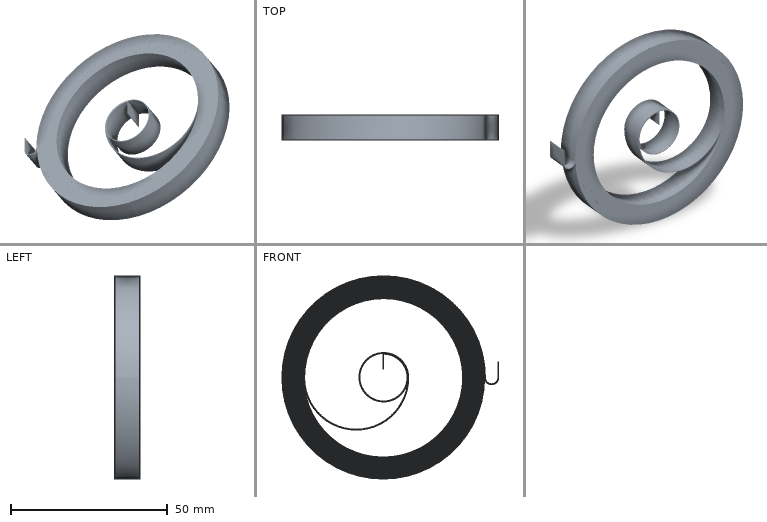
import cadquery as cq
import math


overall_length = 69.25
strip_width = 8.0
strip_thickness = 0.25
turn_clearance = 0.001
pitch = strip_thickness + turn_clearance

ring_diameter = 65.0
ring_turns = 29
ring_radius = ring_diameter / 2

coil_diameter = 16.0
coil_radius = coil_diameter / 2
coil_inner_radius = coil_radius - pitch
tab_length = 5.0

hook_radius = (overall_length - ring_diameter + strip_thickness) / 2
hook_inner_radius = hook_radius - strip_thickness
hook_height = 5.0


def on_circle(center, radius, angle):
    """Point (x, z) on a circle, with the angle in degrees from +X towards +Z."""
    turn = math.radians(angle)
    return (center[0] + radius * math.cos(turn), center[1] + radius * math.sin(turn))


def wound_arc(center, outer_radius, start, end):
    """Clockwise stretch of strip: centre, radii of its outer and inner faces, end angles."""
    return (center, outer_radius, outer_radius - strip_thickness, start, end)


def lower_half(left, right):
    """Two quarter turns below the X axis that join outer faces at x = right and x = left."""
    center = ((left + right) / 2, 0)
    radius = (right - left) / 2
    return [wound_arc(center, radius, 0, -90), wound_arc(center, radius, -90, -180)]


def coil_arcs():
    """Small coil: one full turn from the top, then a quarter turn lying on it."""
    side_radius = (coil_radius + coil_inner_radius) / 2
    side_center = (0, (coil_radius - coil_inner_radius) / 2)
    return [
        wound_arc((0, 0), coil_inner_radius, 90, -90),
        wound_arc(side_center, side_radius, -90, -270),
        wound_arc((0, 0), coil_radius, 90, 0),
    ]


def ring_arcs():
    """Ring of upper half turns about the origin, linked by slightly offset lower halves."""
    arcs = []
    right = coil_radius
    for turn in reversed(range(ring_turns)):
        radius = ring_radius - turn * pitch
        arcs += lower_half(-radius, right)
        arcs.append(wound_arc((0, 0), radius, 180, 0))
        right = radius
    return arcs


def hook_arcs():
    """U bend that curls away from the ring, so the strip's outer face is inside the bend."""
    center = (ring_radius + hook_inner_radius, 0)
    return [
        (center, hook_inner_radius, hook_radius, 180, 270),
        (center, hook_inner_radius, hook_radius, 270, 360),
    ]


arcs = coil_arcs() + ring_arcs() + hook_arcs()
coil_inner_face = coil_inner_radius - strip_thickness
tab_end = coil_inner_radius - tab_length
hook_inner_x = ring_radius + 2 * hook_inner_radius
hook_outer_x = hook_inner_x + strip_thickness

outline = (
    cq.Workplane("XZ")
    .moveTo(0, coil_inner_face)
    .lineTo(0, tab_end)
    .lineTo(-strip_thickness, tab_end)
    .lineTo(-strip_thickness, coil_inner_face)
    .threePointArc(
        on_circle((0, coil_inner_face), strip_thickness, 135),
        (0, coil_inner_radius),
    )
)

for center, outer, _, start, end in arcs:
    middle = (start + end) / 2
    outline = outline.threePointArc(on_circle(center, outer, middle), on_circle(center, outer, end))

outline = (
    outline.lineTo(hook_inner_x, hook_height)
    .lineTo(hook_outer_x, hook_height)
    .lineTo(hook_outer_x, 0)
)

for center, _, inner, start, end in reversed(arcs):
    middle = (start + end) / 2
    outline = outline.threePointArc(on_circle(center, inner, middle), on_circle(center, inner, start))

result = outline.close().extrude(strip_width, clean=False)